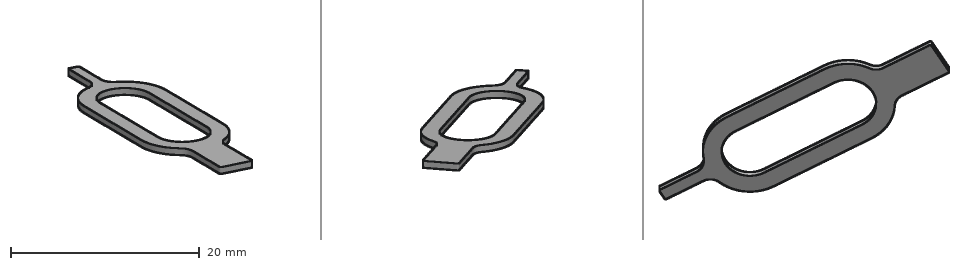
import cadquery as cq

length = 34.1
thickness = 0.8

ring_width = 10.0
slot_width = 6.0
straight_length = 12.0

stem_width = 1.35
tab_width = 4.0
stem_tip_to_arc_center = 10.78
root_radius = 1.5
tip_radius = 0.17

left_end = -length / 2
right_end = length / 2
ring_center = left_end + stem_tip_to_arc_center + straight_length / 2


def slot_prism(width):
    """Round-ended prism around the ring centre."""
    return (
        cq.Workplane("XY")
        .center(ring_center, 0)
        .slot2D(straight_length + width, width)
        .extrude(thickness)
    )


def handle(end_x, width):
    """Flat bar from the ring centre to an end, with rounded tip corners."""
    bar_length = abs(end_x - ring_center)
    tip_face = ">X" if end_x > ring_center else "<X"
    return (
        cq.Workplane("XY")
        .center((end_x + ring_center) / 2, 0)
        .rect(bar_length, width)
        .extrude(thickness)
        .faces(tip_face)
        .edges("|Z")
        .fillet(tip_radius)
    )


def root_edges(width, side):
    """Selector for the corners where a handle of this width meets the ring (side: -1 left, 1 right)."""
    margin = 0.05
    reach = ((ring_width / 2) ** 2 - (width / 2) ** 2) ** 0.5 + straight_length / 2
    corner_x = ring_center + side * reach
    return cq.selectors.BoxSelector(
        (corner_x - margin, -width, -margin),
        (corner_x + margin, width, thickness + margin),
    )


body = slot_prism(ring_width)
body = body.union(handle(left_end, stem_width))
body = body.union(handle(right_end, tab_width))

for handle_width, side in ((stem_width, -1), (tab_width, 1)):
    body = body.edges("|Z").edges(root_edges(handle_width, side)).fillet(root_radius)

result = body.cut(slot_prism(slot_width))